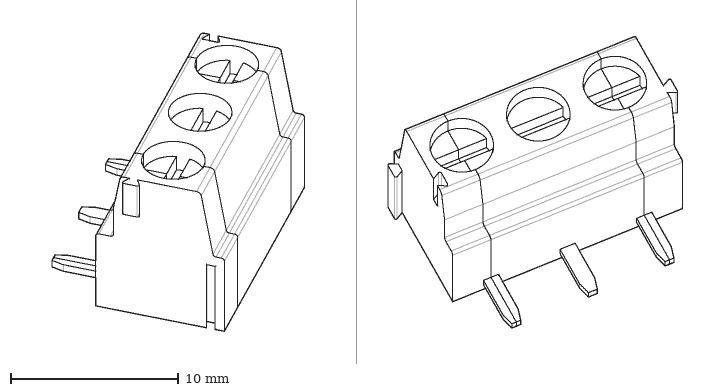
import cadquery as cq
import math


POLE_COUNT = 3
PITCH = 5.08
POLE_YS = [(i - (POLE_COUNT - 1) / 2) * PITCH for i in range(POLE_COUNT)]

LENGTH = POLE_COUNT * PITCH
DEPTH = 8.1
HEIGHT = 10.0
SHOULDER_Z = 5.41
REAR_WALL_X = 1.12
REAR_SLOPE_Z = 7.58
FRONT_SLOPE_X = 7.41
SLOPE_ANGLE = 10.0
TOP_RADIUS = 0.3
SHOULDER_RADIUS = 0.2

SCREW_X = DEPTH / 2
SCREW_DIAMETER = 3.8
SCREW_DEPTH = 1.1
SLOT_WIDTH = 0.84
SLOT_DEPTH = 1.0

PIN_LENGTH = 3.5
PIN_WIDTH = 1.0
PIN_THICKNESS = 0.5
PIN_Z = 0.51
PIN_TIP_WIDTH = 0.6
PIN_TAPER_LENGTH = 0.79

OVERALL_LENGTH = 16.44
DOVETAIL_DEPTH = (OVERALL_LENGTH - LENGTH) / 2
ROOT_HALF_WIDTH = 0.26
TIP_HALF_WIDTH = 0.6
TIP_RADIUS = 0.1
UPPER_DOVETAIL_X = 2.38
UPPER_DOVETAIL_HEIGHT = 2.3
LOWER_DOVETAIL_X = 7.25
LOWER_DOVETAIL_HEIGHT = 4.7


def housing_strip():
    """The housing profile along the whole row, with its edges rounded."""
    lean = math.tan(math.radians(SLOPE_ANGLE))
    top_left_x = REAR_WALL_X + (HEIGHT - REAR_SLOPE_Z) * lean
    top_right_x = FRONT_SLOPE_X - (HEIGHT - SHOULDER_Z) * lean
    outline = [
        (0, 0),
        (DEPTH, 0),
        (DEPTH, SHOULDER_Z),
        (FRONT_SLOPE_X, SHOULDER_Z),
        (top_right_x, HEIGHT),
        (top_left_x, HEIGHT),
        (REAR_WALL_X, REAR_SLOPE_Z),
        (REAR_WALL_X, SHOULDER_Z),
        (0, SHOULDER_Z),
    ]
    strip = cq.Workplane("XZ").polyline(outline).close().extrude(LENGTH / 2, both=True)
    strip = strip.edges("|Y").edges(">Z").fillet(TOP_RADIUS)
    shoulder_band = cq.selectors.BoxSelector(
        (-SHOULDER_RADIUS, -LENGTH, SHOULDER_Z - SHOULDER_RADIUS),
        (DEPTH + SHOULDER_RADIUS, LENGTH, SHOULDER_Z + SHOULDER_RADIUS),
    )
    return strip.edges("|Y").edges(shoulder_band).fillet(SHOULDER_RADIUS)


def screw_recess(y):
    """Round recess open at the top, with a screwdriver slot across its floor."""
    floor_z = HEIGHT - SCREW_DEPTH
    floor = cq.Workplane("XY", (SCREW_X, y, floor_z))
    bore = floor.circle(SCREW_DIAMETER / 2).extrude(SCREW_DEPTH)
    slot_ends = floor.circle(SCREW_DIAMETER / 2).extrude(-SLOT_DEPTH)
    slot = floor.rect(SLOT_WIDTH, SCREW_DIAMETER).extrude(-SLOT_DEPTH).intersect(slot_ends)
    return bore.union(slot)


def pin(y):
    """Flat pin standing out of the pin-side face, tapered at its tip."""
    taper_x = PIN_TAPER_LENGTH - PIN_LENGTH
    outline = [
        (0, -PIN_WIDTH / 2),
        (0, PIN_WIDTH / 2),
        (taper_x, PIN_WIDTH / 2),
        (-PIN_LENGTH, PIN_TIP_WIDTH / 2),
        (-PIN_LENGTH, -PIN_TIP_WIDTH / 2),
        (taper_x, -PIN_WIDTH / 2),
    ]
    return cq.Workplane("XY", (0, y, PIN_Z)).polyline(outline).close().extrude(PIN_THICKNESS)


def dovetail(x, root_y, start_z, height, direction):
    """Upright bar that widens from its root along direction (+1 or -1) in Y, its tip edges rounded."""
    tip_y = direction * DOVETAIL_DEPTH
    outline = [
        (-ROOT_HALF_WIDTH, 0),
        (-TIP_HALF_WIDTH, tip_y),
        (TIP_HALF_WIDTH, tip_y),
        (ROOT_HALF_WIDTH, 0),
    ]
    bar = cq.Workplane("XY", (x, root_y, start_z)).polyline(outline).close().extrude(height)
    tip_edges = ">Y" if direction > 0 else "<Y"
    return bar.edges("|Z").edges(tip_edges).fillet(TIP_RADIUS)


def upper_dovetail(root_y):
    """Dovetail that reaches down from the top, pointing along -Y."""
    start_z = HEIGHT - UPPER_DOVETAIL_HEIGHT
    return dovetail(UPPER_DOVETAIL_X, root_y, start_z, UPPER_DOVETAIL_HEIGHT, -1)


def lower_dovetail(root_y):
    """Dovetail that reaches up from the underside, pointing along +Y."""
    return dovetail(LOWER_DOVETAIL_X, root_y, 0, LOWER_DOVETAIL_HEIGHT, 1)


def segment(start_y, end_y):
    """One stretch of the row, with its share of the pins and screw recesses."""
    row = housing_strip()
    for y in POLE_YS:
        row = row.cut(screw_recess(y)).union(pin(y))
    slab = cq.Workplane("XY").box(
        2 * (DEPTH + PIN_LENGTH), end_y - start_y, HEIGHT, centered=(True, False, False)
    )
    return row.intersect(slab.translate((0, start_y, 0)))


def front_end():
    """Front stretch: the upper dovetail stands out, the lower one is a groove."""
    face_y = -LENGTH / 2
    body = segment(face_y, POLE_YS[0])
    return body.union(upper_dovetail(face_y)).cut(lower_dovetail(face_y))


def middle():
    """Stretch between the two split planes."""
    return segment(POLE_YS[0], POLE_YS[-1])


def back_end():
    """Back stretch: the upper dovetail is a groove, the lower one stands out."""
    face_y = LENGTH / 2
    body = segment(POLE_YS[-1], face_y)
    return body.cut(upper_dovetail(face_y)).union(lower_dovetail(face_y))


segments = [front_end(), middle(), back_end()]
result = cq.Compound.makeCompound([body.solids().val() for body in segments])